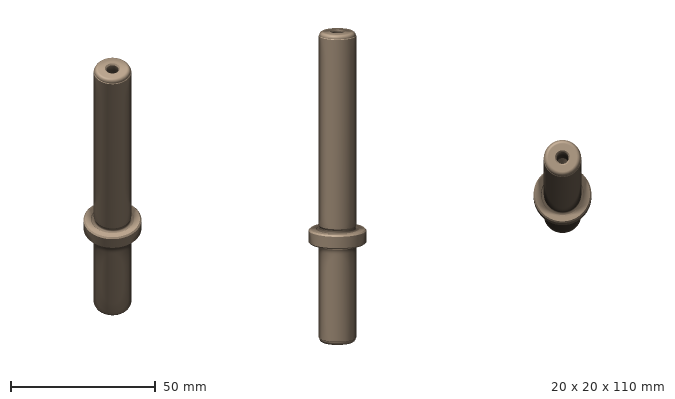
import cadquery as cq
import math

total_length = 110.0
collar_bottom = 35.0
collar_width = 5.0
collar_top = collar_bottom + collar_width

shaft_radius = 13.0 / 2
collar_radius = 20.0 / 2

nose_rounding = 1.3
nose_bevel = 0.2
nose_radius = shaft_radius - nose_bevel
nose_face_radius = nose_radius - nose_rounding

collar_chamfer = 0.5

neck_radius = 12.3 / 2
neck_height = 0.7
neck_runout_height = 0.65
neck_fillet = 0.5
ring_outer_radius = 14.8 / 2
ring_floor_radius = 14.4 / 2
ring_depth = 0.2

lower_neck_radius = 11.9 / 2
lower_neck_height = 0.65
lower_cone_height = 0.3

hole_radius = 4.2 / 2
hole_mouth_radius = 5.2 / 2
hole_depth = 12.0
hole_tip_angle = 118.0


def make_body():
    """Shaft, collar and both necks as one half profile turned about Z."""
    lower_shaft_top = collar_bottom - lower_neck_height - lower_cone_height
    upper_shaft_bottom = collar_top + neck_height + neck_runout_height
    ring_floor = collar_top - ring_depth
    half_profile = (
        cq.Workplane("XZ")
        .moveTo(0, 0)
        .lineTo(nose_face_radius, 0)
        .radiusArc((nose_radius, nose_rounding), -nose_rounding)
        .lineTo(shaft_radius, nose_rounding + nose_bevel)
        .lineTo(shaft_radius, lower_shaft_top)
        .lineTo(lower_neck_radius, lower_shaft_top + lower_cone_height)
        .lineTo(lower_neck_radius, collar_bottom)
        .lineTo(collar_radius - collar_chamfer, collar_bottom)
        .lineTo(collar_radius, collar_bottom + collar_chamfer)
        .lineTo(collar_radius, collar_top - collar_chamfer)
        .lineTo(collar_radius - collar_chamfer, collar_top)
        .lineTo(ring_outer_radius, collar_top)
        .lineTo(ring_floor_radius, ring_floor)
        .lineTo(neck_radius + neck_fillet, ring_floor)
        .radiusArc((neck_radius, ring_floor + neck_fillet), neck_fillet)
        .lineTo(neck_radius, collar_top + neck_height)
        .lineTo(shaft_radius, upper_shaft_bottom)
        .lineTo(shaft_radius, total_length - nose_rounding - nose_bevel)
        .lineTo(nose_radius, total_length - nose_rounding)
        .radiusArc((nose_face_radius, total_length), -nose_rounding)
        .lineTo(0, total_length)
        .close()
    )
    return half_profile.revolve(360, (0, 0, 0), (0, 1, 0))


def make_hole():
    """Blind hole with a 90 degree countersink and a drill-point bottom."""
    countersink_depth = hole_mouth_radius - hole_radius
    tip_height = hole_radius / math.tan(math.radians(hole_tip_angle / 2))
    hole_bottom = total_length - hole_depth
    half_profile = (
        cq.Workplane("XZ")
        .moveTo(0, total_length)
        .lineTo(hole_mouth_radius, total_length)
        .lineTo(hole_radius, total_length - countersink_depth)
        .lineTo(hole_radius, hole_bottom)
        .lineTo(0, hole_bottom - tip_height)
        .close()
    )
    return half_profile.revolve(360, (0, 0, 0), (0, 1, 0))


result = make_body().cut(make_hole())